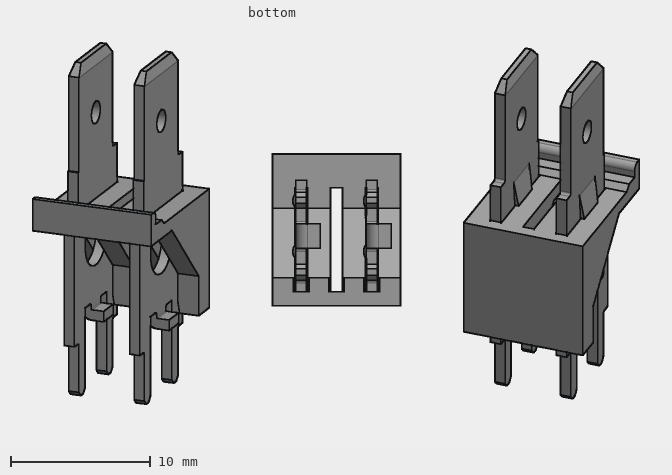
import cadquery as cq


housing_width = 9.2
housing_back = 5.0
housing_height = 9.0
back_wall_front = 3.0
back_wall_height = 3.0
arm_underside = 8.0
arm_root = back_wall_front - (arm_underside - back_wall_height)
lip_front = -5.9
lip_rear = -5.0
lip_top = 10.4
lip_round = 0.5
ledge_height = 9.4
ledge_rear = -3.95
ramp_foot = -3.45

slot_back = 3.98
terminal_slot_width = 0.9
center_slot_width = 0.85
flare_height = 0.8
flare_side = 0.12

terminal_pitch = 5.08
terminal_x = (-terminal_pitch / 2, terminal_pitch / 2)
thickness = 0.8
half_thickness = thickness / 2

blade_half_width = 3.15
blade_top = 19.9
bevel_height = 0.85
bevel_side = 0.8
blade_tip_thickness = 0.45
blade_hole_diameter = 1.65
blade_hole_z = 15.45

body_back = slot_back
body_front = -4.0
body_bottom = -1.05
neck_front = -3.3
neck_bottom = 7.92
shoulder_z = 11.9
corner_round = 0.2
body_hole_diameter = 4.0
body_hole_z = 5.92

leg_inner = 2.0
leg_bottom = -5.1
leg_tip_chamfer = 0.35
crotch_z = 1.28

tab_half_width = 0.88
tab_reach = 0.98
tab_thickness = thickness
tab_inner_round = 0.05
tab_outer_round = tab_thickness + tab_inner_round

latch_top = 11.0
latch_top_half_width = 1.5
latch_bottom_half_width = 1.3
latch_depth = 0.3

dome_diameter = 1.0
dome_height = 0.2
dome_z = 2.4
dome_y = (1.1, -2.52)


def box(x_range, y_range, z_range):
    """Axis-aligned box between the given limits."""
    size = [end - start for start, end in (x_range, y_range, z_range)]
    corner = (x_range[0], y_range[0], z_range[0])
    return cq.Workplane("XY", origin=corner).box(*size, centered=False)


def flared_slot(x, width):
    """Vertical slot cutter whose sides spread out at the underside of the housing."""
    half = width / 2
    outline = [
        (x - half - flare_side, 0),
        (x - half, flare_height),
        (x - half, housing_height),
        (x + half, housing_height),
        (x + half, flare_height),
        (x + half + flare_side, 0),
    ]
    slot = cq.Workplane("XZ", origin=(0, slot_back, 0)).polyline(outline).close()
    return slot.extrude(slot_back - ramp_foot)


def make_housing():
    profile = (
        cq.Workplane("YZ", origin=(-housing_width / 2, 0, 0))
        .moveTo(housing_back, 0)
        .lineTo(housing_back, housing_height)
        .lineTo(ramp_foot, housing_height)
        .lineTo(ledge_rear, ledge_height)
        .lineTo(lip_rear, ledge_height)
        .lineTo(lip_rear, lip_top - lip_round)
        .radiusArc((lip_rear - lip_round, lip_top), -lip_round)
        .lineTo(lip_front, lip_top)
        .lineTo(lip_front, arm_underside)
        .lineTo(arm_root, arm_underside)
        .lineTo(back_wall_front, back_wall_height)
        .lineTo(back_wall_front, 0)
        .close()
    )
    housing = profile.extrude(housing_width)
    housing = housing.cut(flared_slot(0, center_slot_width))
    for x in terminal_x:
        housing = housing.cut(flared_slot(x, terminal_slot_width))
    return housing


def make_blade():
    """Flat blade with a bevelled tip and a round hole."""
    bevel_start = blade_top - bevel_height
    blade = box(
        (-half_thickness, half_thickness),
        (-blade_half_width, blade_half_width),
        (shoulder_z, bevel_start),
    )
    tip = (
        cq.Workplane("XY", origin=(0, 0, bevel_start))
        .rect(thickness, 2 * blade_half_width)
        .workplane(offset=bevel_height)
        .rect(blade_tip_thickness, 2 * (blade_half_width - bevel_side))
        .loft(ruled=True)
    )
    hole = (
        cq.Workplane("YZ", origin=(-half_thickness, 0, blade_hole_z))
        .circle(blade_hole_diameter / 2)
        .extrude(thickness)
    )
    return blade.union(tip).cut(hole)


def make_leg(outer, inner):
    """One solder leg with a chamfered tip, reaching up into the terminal body."""
    leg = box(
        (-half_thickness, half_thickness),
        sorted((outer, inner)),
        (leg_bottom, crotch_z),
    )
    return leg.faces("<Z").edges("|X").chamfer(leg_tip_chamfer)


def make_body():
    """Plate between the blade and the legs, with its large hole."""
    across = (-half_thickness, half_thickness)
    plate = box(across, (body_front, body_back), (body_bottom, neck_bottom))
    plate = plate.edges("|X and <Y and >Z").fillet(corner_round)
    neck = box(across, (neck_front, body_back), (neck_bottom, shoulder_z))
    leg_gap = box(across, (-leg_inner, leg_inner), (body_bottom, crotch_z))
    hole = (
        cq.Workplane("YZ", origin=(-half_thickness, 0, body_hole_z))
        .circle(body_hole_diameter / 2)
        .extrude(thickness)
    )
    return plate.union(neck).cut(leg_gap).cut(hole)


def make_corner_fillet(y, z, y_side, z_side):
    """Concave round that fills the inside corner at (y, z) towards the given sides."""
    y_end = y + y_side * corner_round
    z_end = z + z_side * corner_round
    return (
        cq.Workplane("YZ", origin=(-half_thickness, 0, 0))
        .moveTo(y, z)
        .lineTo(y_end, z)
        .radiusArc((y, z_end), y_side * z_side * corner_round)
        .close()
        .extrude(thickness)
    )


def make_tab():
    """Tab between the legs that turns towards +X."""
    profile = (
        cq.Workplane("XZ", origin=(0, tab_half_width, 0))
        .moveTo(-half_thickness, crotch_z)
        .lineTo(-half_thickness, tab_outer_round)
        .radiusArc((-half_thickness + tab_outer_round, 0), -tab_outer_round)
        .lineTo(half_thickness + tab_reach, 0)
        .lineTo(half_thickness + tab_reach, tab_thickness)
        .lineTo(half_thickness + tab_inner_round, tab_thickness)
        .radiusArc((half_thickness, tab_thickness + tab_inner_round), tab_inner_round)
        .lineTo(half_thickness, crotch_z)
        .close()
    )
    return profile.extrude(2 * tab_half_width)


def make_latch():
    """Wedge that grows from the -X face downwards and rests on the housing."""
    wedge = (
        cq.Workplane("XZ", origin=(0, latch_top_half_width, 0))
        .moveTo(-half_thickness, latch_top)
        .lineTo(-half_thickness - latch_depth, housing_height)
        .lineTo(-half_thickness, housing_height)
        .close()
        .extrude(2 * latch_top_half_width)
    )
    outline = [
        (-latch_top_half_width, latch_top),
        (latch_top_half_width, latch_top),
        (latch_bottom_half_width, housing_height),
        (-latch_bottom_half_width, housing_height),
    ]
    taper = (
        cq.Workplane("YZ", origin=(-half_thickness - latch_depth, 0, 0))
        .polyline(outline)
        .close()
        .extrude(latch_depth)
    )
    return wedge.intersect(taper)


def make_dome(y):
    """Shallow spherical dome standing on the -X face."""
    radius = dome_diameter / 2
    apex_x = -half_thickness - dome_height
    sphere_radius = (radius**2 + dome_height**2) / (2 * dome_height)
    half_profile = (
        cq.Workplane("XY")
        .moveTo(apex_x, 0)
        .lineTo(-half_thickness, 0)
        .lineTo(-half_thickness, radius)
        .radiusArc((apex_x, 0), -sphere_radius)
        .close()
    )
    dome = half_profile.revolve(360, (apex_x, 0, 0), (-half_thickness, 0, 0))
    return dome.translate((0, y, dome_z))


def make_terminal(x):
    terminal = make_body().union(make_blade())
    for side in (-1, 1):
        terminal = terminal.union(make_leg(side * blade_half_width, side * leg_inner))
        terminal = terminal.union(make_corner_fillet(side * blade_half_width, body_bottom, side, -1))
        terminal = terminal.union(make_corner_fillet(side * tab_half_width, crotch_z, side, -1))
    terminal = terminal.union(make_corner_fillet(blade_half_width, shoulder_z, 1, 1))
    terminal = terminal.union(make_tab()).union(make_latch())
    for y in dome_y:
        terminal = terminal.union(make_dome(y))
    return terminal.translate((x, 0, 0))


housing = make_housing()
terminals = [make_terminal(x) for x in terminal_x]

result = cq.Compound.makeCompound([housing.val(), *(terminal.val() for terminal in terminals)])